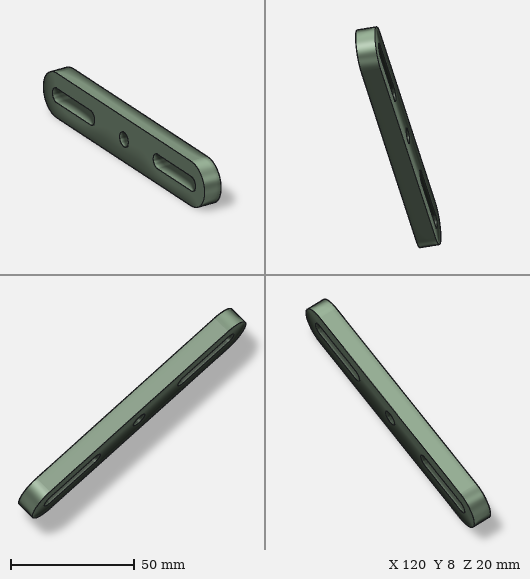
import cadquery as cq

length = 120.0
width = 20.0
thickness = 8.0

hole_diameter = 6.5

slot_outer_center = (length - width) / 2
slot_inner_center = slot_outer_center / 2
slot_length = slot_outer_center - slot_inner_center + hole_diameter
slot_offset = (slot_outer_center + slot_inner_center) / 2

bar = cq.Workplane("XZ").slot2D(length, width).extrude(thickness / 2, both=True)

center_hole = cq.Workplane("XZ").circle(hole_diameter / 2).extrude(thickness, both=True)

slots = (
    cq.Workplane("XZ")
    .pushPoints([(-slot_offset, 0), (slot_offset, 0)])
    .slot2D(slot_length, hole_diameter)
    .extrude(thickness, both=True)
)

result = bar.cut(center_hole).cut(slots)